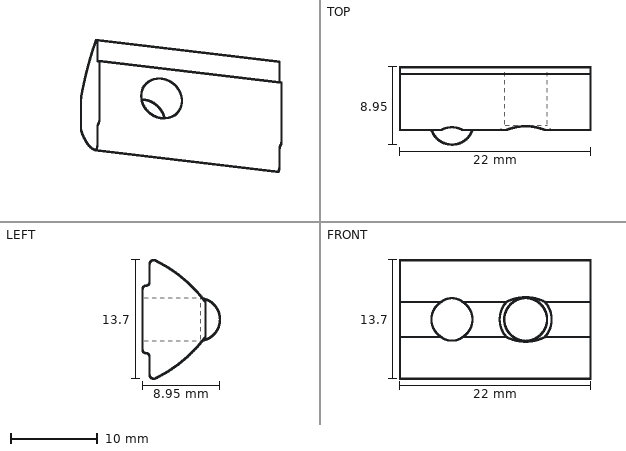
import cadquery as cq
import math


length = 22.0
depth = 7.25
half_height = 6.85
front_half_height = 2.03
lip_radius = 0.5
lip_slope = 26.0

tongue_height = 0.8
tongue_half_width = 3.9
tongue_radius = tongue_height / 2

hole_x = 14.5
hole_diameter = 4.92
mouth_diameter = 6.0
mouth_depth = (mouth_diameter - hole_diameter) / 2

ball_x = 6.0
ball_diameter = 5.0
ball_protrusion = 1.7


def make_body():
    """Extrude the symmetric cross-section, outlined in its upper half (Y, Z)."""
    shoulder_y = -tongue_height
    diagonal = math.sqrt(0.5)
    edge_mid = tongue_radius * (1 - diagonal)

    lip_y = shoulder_y - lip_radius
    lip_z = half_height - lip_radius
    lean = math.radians(lip_slope)
    lip_end = (lip_y - lip_radius * math.sin(lean), lip_z + lip_radius * math.cos(lean))

    return (
        cq.Workplane("YZ")
        .lineTo(0, tongue_half_width - tongue_radius)
        .threePointArc(
            (-edge_mid, tongue_half_width - edge_mid),
            (-tongue_radius, tongue_half_width),
        )
        .threePointArc(
            (shoulder_y + edge_mid, tongue_half_width + edge_mid),
            (shoulder_y, tongue_half_width + tongue_radius),
        )
        .lineTo(shoulder_y, lip_z)
        .threePointArc((lip_y, half_height), lip_end)
        .tangentArcPoint((-depth, front_half_height), relative=False)
        .lineTo(-depth, 0)
        .mirrorX()
        .extrude(length)
    )


def make_hole_cutter():
    """Revolve the through hole and its countersink about the hole axis."""
    hole_radius = hole_diameter / 2
    mouth_radius = mouth_diameter / 2
    return (
        cq.Workplane("XY")
        .moveTo(hole_x, 0)
        .lineTo(hole_x + hole_radius, 0)
        .lineTo(hole_x + hole_radius, -depth + mouth_depth)
        .lineTo(hole_x + mouth_radius, -depth)
        .lineTo(hole_x, -depth)
        .close()
        .revolve(360, (hole_x, 0, 0), (hole_x, 1, 0))
    )


def make_ball():
    """Revolve the ball about the Y line through its centre."""
    ball_radius = ball_diameter / 2
    tip_y = -depth - ball_protrusion
    centre_y = tip_y + ball_radius
    return (
        cq.Workplane("XY")
        .moveTo(ball_x, tip_y)
        .threePointArc((ball_x + ball_radius, centre_y), (ball_x, centre_y + ball_radius))
        .close()
        .revolve(360, (ball_x, 0, 0), (ball_x, 1, 0))
    )


result = make_body().cut(make_hole_cutter()).union(make_ball())